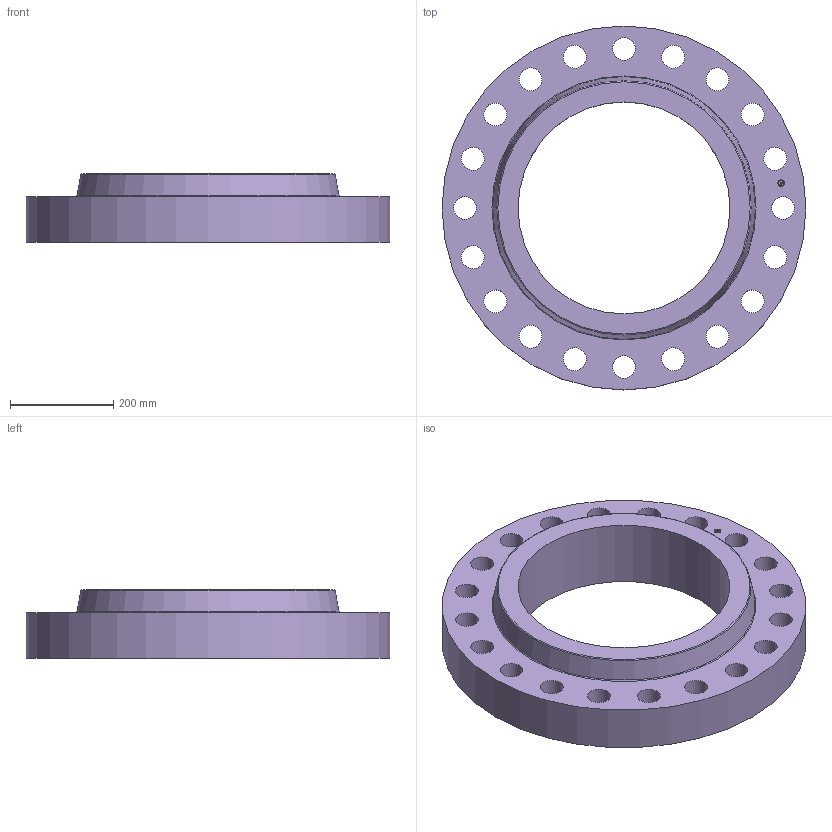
import cadquery as cq
import math

flange_diameter = 704.85
flange_thickness = 88.9
bore_diameter = 410.5

overall_height = 133.35
hub_base_diameter = 508.0
hub_top_diameter = 492.0
hub_top_fillet = 2.0
hub_base_fillet = 2.0

bolt_circle_diameter = 615.95
bolt_hole_diameter = 44.45
bolt_count = 20

step_diameters = (12.5, 10.0, 4.0)
step_depth = 2.0

bolt_pitch_angle = 360.0 / bolt_count


def flange_body():
    """Revolved half section of the flange and its hub, with the bore left open."""
    bore_radius = bore_diameter / 2
    flange_radius = flange_diameter / 2
    section = (
        cq.Workplane("XZ")
        .moveTo(bore_radius, 0)
        .lineTo(flange_radius, 0)
        .lineTo(flange_radius, flange_thickness)
        .lineTo(hub_base_diameter / 2, flange_thickness)
        .lineTo(hub_top_diameter / 2, overall_height)
        .lineTo(bore_radius, overall_height)
        .close()
    )
    return section.revolve(360, (0, 0, 0), (0, 1, 0))


def round_hub(body):
    """Round the outer rim of the hub and the corner where it meets the flange."""
    hub_rim = body.faces(">Z").edges(cq.selectors.RadiusNthSelector(-1))
    rounded = hub_rim.fillet(hub_top_fillet)
    flange_top = rounded.faces("+Z").faces("<Z")
    hub_foot = flange_top.edges(cq.selectors.RadiusNthSelector(0))
    return hub_foot.fillet(hub_base_fillet)


def bolt_holes():
    """Cylinders for the bolt holes, running through the flange thickness."""
    return (
        cq.Workplane("XY")
        .polarArray(bolt_circle_diameter / 2, 0, 360, bolt_count)
        .circle(bolt_hole_diameter / 2)
        .extrude(flange_thickness)
    )


def stepped_hole():
    """Blind hole in the flange's top face that narrows in equal steps as it deepens."""
    angle = math.radians(bolt_pitch_angle / 2)
    radius = bolt_circle_diameter / 2
    center = (radius * math.cos(angle), radius * math.sin(angle), flange_thickness)
    hole = cq.Workplane("XY")
    for step, diameter in enumerate(step_diameters, start=1):
        drilling = cq.Workplane("XY", origin=center).circle(diameter / 2).extrude(-step * step_depth)
        hole = hole.union(drilling)
    return hole


result = round_hub(flange_body()).cut(bolt_holes()).cut(stepped_hole())